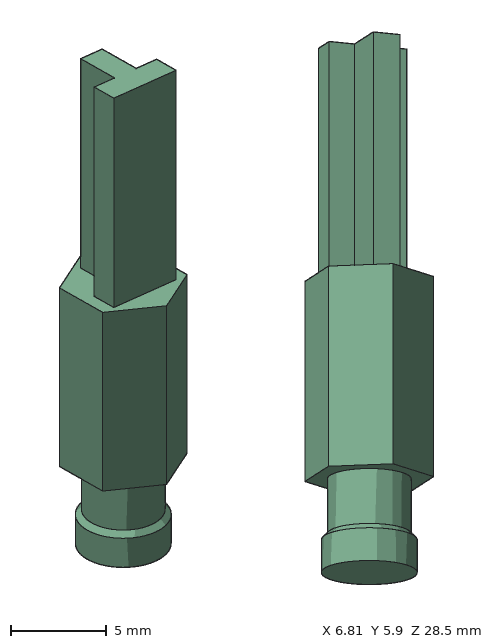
import cadquery as cq
import math

total_height = 28.5
hex_bottom = 5.05
hex_top = 15.85

hex_across_flats = 5.9
hex_across_corners = hex_across_flats / math.cos(math.pi / 6)

neck_radius = 2.2
collar_radius = 2.5
collar_edge_height = 1.77
collar_taper_height = 0.3

key_width = 4.35
flange_thickness = 1.55
flange_x_max = 1.7
stem_thickness = 1.5
stem_x_min = -2.5


def make_foot():
    """Revolve the collar, its tapered shoulder and the neck."""
    return (
        cq.Workplane("XZ")
        .moveTo(0, 0)
        .lineTo(collar_radius, 0)
        .lineTo(collar_radius, collar_edge_height)
        .lineTo(neck_radius, collar_edge_height + collar_taper_height)
        .lineTo(neck_radius, hex_bottom)
        .lineTo(0, hex_bottom)
        .close()
        .revolve(360, (0, 0), (0, 1))
    )


def make_body():
    """Hexagonal prism with corners on the X axis."""
    return (
        cq.Workplane("XY", origin=(0, 0, hex_bottom))
        .polygon(6, hex_across_corners)
        .extrude(hex_top - hex_bottom)
    )


def make_key_bar(x_min, x_max, width):
    """Upright bar on top of the body, centred on Y."""
    return (
        cq.Workplane("XY", origin=((x_min + x_max) / 2, 0, hex_top))
        .rect(x_max - x_min, width)
        .extrude(total_height - hex_top)
    )


flange = make_key_bar(flange_x_max - flange_thickness, flange_x_max, key_width)
stem = make_key_bar(stem_x_min, flange_x_max, stem_thickness)

result = make_body().union(make_foot()).union(flange).union(stem)